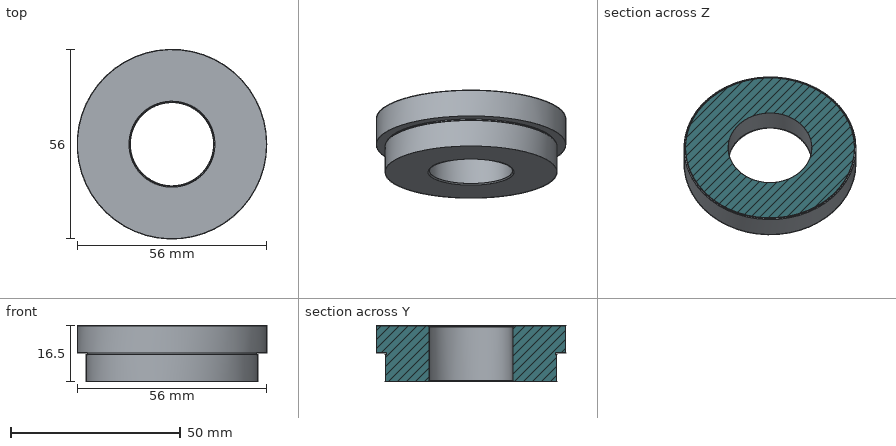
import cadquery as cq

flange_diameter = 56.0
flange_height = 8.0
body_diameter = 50.8
body_height = 8.0
neck_diameter = 50.0
neck_height = 0.5
bore_diameter = 24.6
bore_chamfer = 0.4

total_height = body_height + neck_height + flange_height
bore_radius = bore_diameter / 2
rim_radius = bore_radius + bore_chamfer


def disc(diameter, height, base_z):
    """Solid disc on the Z axis, standing on base_z."""
    return cq.Workplane("XY").workplane(offset=base_z).circle(diameter / 2).extrude(height)


def stepped_blank():
    """Lower body, relief neck under the flange, and the flange on top."""
    body = disc(body_diameter, body_height, 0)
    neck = disc(neck_diameter, neck_height, body_height)
    flange = disc(flange_diameter, flange_height, body_height + neck_height)
    return body.union(neck).union(flange)


def chamfered_bore():
    """Cutter for the through bore, flared by a 45 degree chamfer at both ends."""
    half_section = (
        cq.Workplane("XZ")
        .lineTo(rim_radius, 0)
        .lineTo(bore_radius, bore_chamfer)
        .lineTo(bore_radius, total_height - bore_chamfer)
        .lineTo(rim_radius, total_height)
        .lineTo(0, total_height)
        .close()
    )
    return half_section.revolve(360, (0, 0, 0), (0, 1, 0))


result = stepped_blank().cut(chamfered_bore())